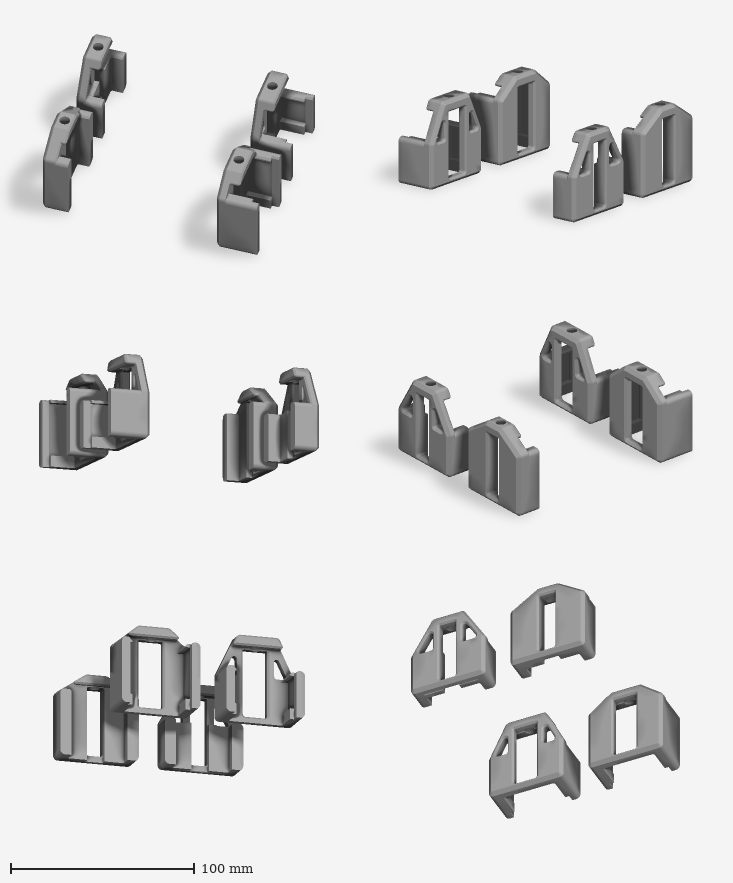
import cadquery as cq
import math

TOTAL_LENGTH = 123.2
TOTAL_WIDTH = 105.0
HEIGHT = 48.0
BODY_WIDTH = 45.0
DEEP_DEPTH = 23.4
SHALLOW_DEPTH = 15.0
DEEP_X = TOTAL_LENGTH - DEEP_DEPTH
ROW_Y = (TOTAL_WIDTH - BODY_WIDTH) / 2

HALF_WIDTH = BODY_WIDTH / 2
CORNER_RADIUS = 2.5
FACE_CHAMFER = 2.0
BEVEL_ANGLE = 45
SMALL_CHAMFER = 1.0
THIN_PLATE = 5.4
THICK_PLATE = 8.3
BACK_CHAMFER = 0.9
INNER_RADIUS = 1.0

STEEP_SHOULDER = 26.0
BROAD_SHOULDER = 37.2
SHALLOW_STEEP_TOP = 9.4
DEEP_STEEP_TOP = 11.8
SHALLOW_BROAD_TOP = 6.0
DEEP_BROAD_TOP = 8.9

DEEP_HEAD = 11.3
SHALLOW_HEAD = 10.8
HEAD_BOTTOM = 42.1
HEAD_RADIUS = 1.0
HOLE_DIAMETER = 5.9
HOLE_X = 6.0
HOLE_OVERRUN = 1.2

SHALLOW_SLOT_WIDTH = 9.9
DEEP_SLOT_WIDTH = 14.0
SLOT_BOTTOM = 3.5
SLOT_TOP = 41.5
SLOT_TOP_RADIUS = 0.5
SLOT_BOTTOM_RADIUS = 1.5
SILL_DEPTH = 4.9

WINDOW_BOTTOM = 26.0
WINDOW_RADIUS = 1.5
WINDOW_MARGIN = 3.6
SHALLOW_WINDOW_EDGE = 8.9
DEEP_WINDOW_EDGE = 10.7

STEEP_ARM_TOP = 26.5
BROAD_ARM_TOP = 37.3
SHALLOW_ARM_THICKNESS = 6.4
DEEP_ARM_THICKNESS = 7.1
ARM_TIP_THICKNESS = 4.8
ARM_TIP_LENGTH = 4.1
GROOVE_WALL = 4.0
GROOVE_BOTTOM = 6.2
GROOVE_TOP_LIP = 1.8

PIN_DIAMETER = 2.2
PIN_HOLE_DEPTH = 2.5
PIN_X = 6.0
PIN_Z = 4.0


def box(x_start, x_end, y_start, y_end, z_start, z_end):
    size = (x_end - x_start, y_end - y_start, z_end - z_start)
    return cq.Workplane("XY").box(*size, centered=False).translate((x_start, y_start, z_start))


def half_width_at(z, half_top, shoulder):
    """Half width of the sloping part of the outline at height z."""
    return half_top + (HALF_WIDTH - half_top) * (HEIGHT - z) / (HEIGHT - shoulder)


def make_plate(half_top, shoulder, thickness):
    """Six-sided plate with rounded corners and a chamfered front face."""
    outline = [
        (-HALF_WIDTH, 0),
        (HALF_WIDTH, 0),
        (HALF_WIDTH, shoulder),
        (half_top, HEIGHT),
        (-half_top, HEIGHT),
        (-HALF_WIDTH, shoulder),
    ]
    plate = cq.Workplane("YZ").polyline(outline).close().extrude(thickness)
    plate = plate.edges("|X").fillet(CORNER_RADIUS)
    return plate.faces("<X").chamfer(FACE_CHAMFER)


def make_head(half_top, shoulder, depth):
    """Thick top of the plate, below which the sides are undercut."""
    half_bottom = half_width_at(HEAD_BOTTOM, half_top, shoulder)
    outline = [(-half_bottom, HEAD_BOTTOM), (half_bottom, HEAD_BOTTOM), (half_top, HEIGHT), (-half_top, HEIGHT)]
    head = cq.Workplane("YZ").polyline(outline).close().extrude(depth - FACE_CHAMFER)
    head = head.edges("|X and >Z").fillet(CORNER_RADIUS)
    head = head.edges("|X and <Z").fillet(HEAD_RADIUS)
    head = head.faces(">X").chamfer(SMALL_CHAMFER)
    return head.translate((FACE_CHAMFER, 0, 0))


def make_arm(x_start, x_end, thickness, top):
    """Arm on the +Y side, rounded outside and chamfered along its inner top edge."""
    arm = box(x_start, x_end, HALF_WIDTH - thickness, HALF_WIDTH, 0, top)
    arm = arm.edges("|X and >Y").fillet(CORNER_RADIUS)
    return arm.edges("|X and <Y and >Z").chamfer(SMALL_CHAMFER)


def make_deep_arm(top):
    """Arm with a thin tip."""
    tip_start = DEEP_DEPTH - ARM_TIP_LENGTH
    arm = make_arm(THIN_PLATE, tip_start, DEEP_ARM_THICKNESS, top)
    return arm.union(make_arm(tip_start, DEEP_DEPTH, ARM_TIP_THICKNESS, top))


def make_groove(top):
    """Recess in the inner face of a deep arm, ending where the thin tip starts."""
    return box(
        THIN_PLATE, DEEP_DEPTH - ARM_TIP_LENGTH,
        HALF_WIDTH - DEEP_ARM_THICKNESS - INNER_RADIUS, HALF_WIDTH - GROOVE_WALL,
        GROOVE_BOTTOM, top - GROOVE_TOP_LIP,
    )


def add_both_sides(body, side_part):
    return body.union(side_part).union(side_part.mirror("XZ"))


def cut_both_sides(body, side_part):
    return body.cut(side_part).cut(side_part.mirror("XZ"))


def rim_bevel(opening):
    """Wedge that chamfers the front rim of an opening starting at X = 0."""
    rim = opening.faces("<X").wires().toPending().offset2D(SMALL_CHAMFER)
    return rim.extrude(SMALL_CHAMFER, taper=BEVEL_ANGLE)


def make_slot(width, reach):
    """Tall slot through the plate, starting at X = 0."""
    slot = cq.Workplane("YZ").center(0, (SLOT_BOTTOM + SLOT_TOP) / 2)
    slot = slot.rect(width, SLOT_TOP - SLOT_BOTTOM).extrude(reach)
    slot = slot.edges("|X and >Z").fillet(SLOT_TOP_RADIUS)
    return slot.edges("|X and <Z").fillet(SLOT_BOTTOM_RADIUS)


def cut_top_hole(body):
    """Vertical hole from the top of the head down into the slot."""
    hole = cq.Workplane("XY", origin=(HOLE_X, 0, SLOT_TOP - HOLE_OVERRUN)).circle(HOLE_DIAMETER / 2)
    return body.cut(hole.extrude(HEIGHT - SLOT_TOP + 2 * HOLE_OVERRUN))


def cut_windows(body, half_top, shoulder, inner_edge, reach):
    """Triangular windows whose long side follows the sloping outline."""
    run_per_rise = (HALF_WIDTH - half_top) / (HEIGHT - shoulder)
    inset = WINDOW_MARGIN * math.hypot(1, run_per_rise)
    outer_edge = half_width_at(WINDOW_BOTTOM, half_top, shoulder) - inset
    peak = WINDOW_BOTTOM + (outer_edge - inner_edge) / run_per_rise
    corners = [(inner_edge, WINDOW_BOTTOM), (outer_edge, WINDOW_BOTTOM), (inner_edge, peak)]
    window = cq.Workplane("YZ").polyline(corners).close().extrude(reach)
    window = window.edges("|X").fillet(WINDOW_RADIUS)
    body = cut_both_sides(body, window)
    return cut_both_sides(body, rim_bevel(window))


def near(x, y, z_start, z_end):
    """Selects edges centred at depth x and width y, within the given heights."""
    gap = 0.1
    return cq.selectors.BoxSelector((x - gap, y - gap, z_start), (x + gap, y + gap, z_end))


def round_under_head(body, plate_back):
    """Fillet the corner between the underside of the head and the plate."""
    corner = near(plate_back, 0, HEAD_BOTTOM - INNER_RADIUS, HEAD_BOTTOM + INNER_RADIUS)
    return body.edges(corner).fillet(INNER_RADIUS)


def round_beside_arms(body, wall_back, arm_thickness, arm_top):
    """Fillet the upright corners between the arms and the wall they stand on."""
    inner_face = HALF_WIDTH - arm_thickness
    corners = near(wall_back, inner_face, 0, arm_top) + near(wall_back, -inner_face, 0, arm_top)
    return body.edges("|Z").edges(corners).fillet(INNER_RADIUS)


def make_deep_bracket(half_top, shoulder, arm_top):
    """Bracket with a thin plate and long, grooved arms."""
    body = make_plate(half_top, shoulder, THIN_PLATE)
    body = body.union(make_head(half_top, shoulder, DEEP_HEAD))
    body = round_under_head(body, THIN_PLATE)
    body = add_both_sides(body, make_deep_arm(arm_top))
    body = round_beside_arms(body, THIN_PLATE, DEEP_ARM_THICKNESS, arm_top)
    body = cut_both_sides(body, make_groove(arm_top))
    slot = make_slot(DEEP_SLOT_WIDTH, DEEP_DEPTH)
    back_bevel = rim_bevel(slot).mirror("YZ").translate((THIN_PLATE, 0, 0))
    body = body.cut(slot).cut(rim_bevel(slot)).cut(back_bevel)
    return cut_top_hole(body)


def make_shallow_bracket(half_top, shoulder, arm_top, plate_thickness):
    """Bracket with thickened sides that leave an open channel behind the slot."""
    half_slot = SHALLOW_SLOT_WIDTH / 2
    body = make_plate(half_top, shoulder, plate_thickness)
    body = body.faces(">X").chamfer(BACK_CHAMFER)
    body = body.union(make_head(half_top, shoulder, SHALLOW_HEAD))
    arm_start = plate_thickness - BACK_CHAMFER
    arm = make_arm(min(arm_start, THIN_PLATE - BACK_CHAMFER), SHALLOW_DEPTH, SHALLOW_ARM_THICKNESS, arm_top)
    rib = box(THIN_PLATE, THICK_PLATE, half_slot, HALF_WIDTH - CORNER_RADIUS, 0, arm_top)
    side = round_beside_arms(arm.union(rib), THICK_PLATE, SHALLOW_ARM_THICKNESS, arm_top)
    body = add_both_sides(body, side)
    slot = make_slot(SHALLOW_SLOT_WIDTH, SHALLOW_DEPTH)
    body = body.cut(slot).cut(rim_bevel(slot))
    channel = box(SILL_DEPTH, SHALLOW_DEPTH, -half_slot, half_slot, 0, SLOT_TOP - SLOT_TOP_RADIUS)
    body = body.cut(channel)
    pin_reach = half_slot + PIN_HOLE_DEPTH
    pin_hole = cq.Workplane("XZ", origin=(PIN_X, pin_reach, PIN_Z)).circle(PIN_DIAMETER / 2)
    body = body.cut(pin_hole.extrude(2 * pin_reach))
    return cut_top_hole(body)


shallow_steep = make_shallow_bracket(SHALLOW_STEEP_TOP, STEEP_SHOULDER, STEEP_ARM_TOP, THIN_PLATE)
shallow_steep = cut_windows(
    shallow_steep, SHALLOW_STEEP_TOP, STEEP_SHOULDER, SHALLOW_WINDOW_EDGE, THICK_PLATE)
deep_steep = make_deep_bracket(DEEP_STEEP_TOP, STEEP_SHOULDER, STEEP_ARM_TOP)
deep_steep = cut_windows(deep_steep, DEEP_STEEP_TOP, STEEP_SHOULDER, DEEP_WINDOW_EDGE, THIN_PLATE)
shallow_broad = make_shallow_bracket(SHALLOW_BROAD_TOP, BROAD_SHOULDER, BROAD_ARM_TOP, THICK_PLATE)
deep_broad = make_deep_bracket(DEEP_BROAD_TOP, BROAD_SHOULDER, BROAD_ARM_TOP)

result = cq.Compound.makeCompound([
    shallow_steep.translate((0, ROW_Y, 0)).val(),
    deep_steep.translate((DEEP_X, ROW_Y, 0)).val(),
    shallow_broad.translate((0, -ROW_Y, 0)).val(),
    deep_broad.translate((DEEP_X, -ROW_Y, 0)).val(),
])